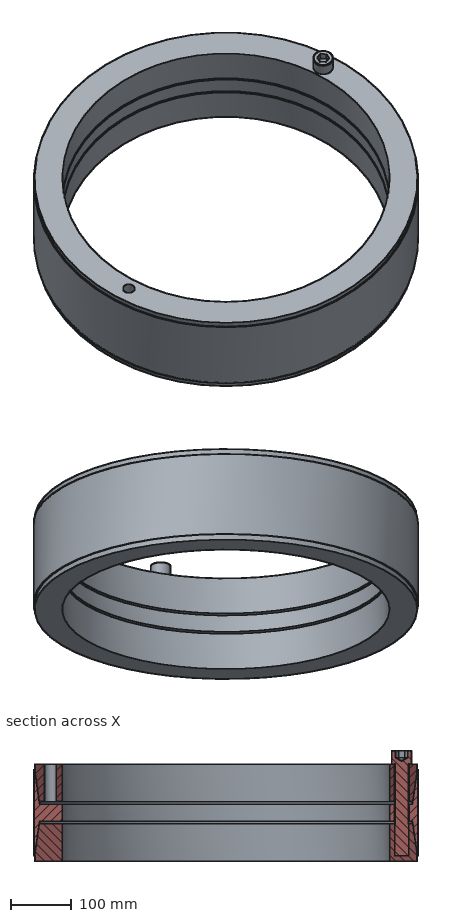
import cadquery as cq
import math


outer_diameter = 635.0
bore_diameter = 540.0
assembly_height = 160.5

rim_diameter = 631.0
rim_height = 9.5
small_end_diameter = 616.0

web_thickness = 28.5
web_gap = 4.0

bolt_circle_radius = 289.5
screw_diameter = 22.0
clearance_diameter = 24.0
jack_hole_diameter = 19.0
head_diameter = 33.0
head_height = 22.0
head_chamfer = 1.0
socket_width = 17.0
socket_depth = 11.5
socket_point_angle = 120.0
screw_tip_z = rim_height

outer_radius = outer_diameter / 2
bore_radius = bore_diameter / 2
rim_radius = rim_diameter / 2
small_end_radius = small_end_diameter / 2
mid_z = assembly_height / 2
web_bottom_z = mid_z - web_thickness / 2
web_top_z = mid_z + web_thickness / 2
taper_end_z = web_bottom_z - web_gap
shoulder_top_z = assembly_height - rim_height
socket_corner_diameter = socket_width / math.cos(math.radians(30))
socket_point_depth = socket_corner_diameter / 2 / math.tan(math.radians(socket_point_angle / 2))


def revolve_profile(points):
    """Revolve an (r, z) outline around the Z axis."""
    return cq.Workplane("XZ").polyline(points).close().revolve(360, (0, 0), (0, 1))


def vertical_cylinder(diameter, y, bottom_z, top_z):
    """Cylinder on the bolt circle's Y line between two heights."""
    return (
        cq.Workplane("XY", origin=(0, y, bottom_z))
        .circle(diameter / 2)
        .extrude(top_z - bottom_z)
    )


def make_outer_ring():
    """Outer ring with two tapered seats and a web reaching in to the bore."""
    seat_radius_at_web = rim_radius - (rim_radius - small_end_radius) * (
        (web_bottom_z - rim_height) / (taper_end_z - rim_height)
    )
    ring = revolve_profile([
        (outer_radius, rim_height),
        (outer_radius, shoulder_top_z),
        (rim_radius, shoulder_top_z),
        (seat_radius_at_web, web_top_z),
        (bore_radius, web_top_z),
        (bore_radius, web_bottom_z),
        (seat_radius_at_web, web_bottom_z),
        (rim_radius, rim_height),
    ])
    return ring.cut(
        vertical_cylinder(clearance_diameter, bolt_circle_radius, web_bottom_z, web_top_z)
    )


def make_tapered_ring():
    """Plain clamping ring with its wide rim at the bottom."""
    return revolve_profile([
        (bore_radius, 0),
        (rim_radius, 0),
        (rim_radius, rim_height),
        (small_end_radius, taper_end_z),
        (bore_radius, taper_end_z),
    ])


def make_rear_ring():
    """Lower tapered ring with the hole that receives the screw."""
    screw_hole = vertical_cylinder(screw_diameter, bolt_circle_radius, screw_tip_z, taper_end_z)
    return make_tapered_ring().cut(screw_hole)


def make_front_ring():
    """Upper tapered ring with a clearance hole and an opposite jack hole."""
    ring = make_tapered_ring().mirror("XY", (0, 0, mid_z))
    screw_hole = vertical_cylinder(
        clearance_diameter, bolt_circle_radius, mid_z, assembly_height
    )
    jack_hole = vertical_cylinder(
        jack_hole_diameter, -bolt_circle_radius, web_top_z, assembly_height
    )
    return ring.cut(screw_hole).cut(jack_hole)


def make_socket():
    """Hexagonal socket with a conical bottom, corners pointing along Y."""
    head_top_z = assembly_height + head_height
    total_depth = socket_depth + socket_point_depth
    prism = (
        cq.Workplane("XY", origin=(0, bolt_circle_radius, head_top_z - total_depth))
        .transformed(rotate=(0, 0, 90))
        .polygon(6, socket_corner_diameter)
        .extrude(total_depth)
    )
    cone_top_radius = total_depth * math.tan(math.radians(socket_point_angle / 2))
    cone = cq.Solid.makeCone(
        cone_top_radius,
        0,
        total_depth,
        pnt=cq.Vector(0, bolt_circle_radius, head_top_z),
        dir=cq.Vector(0, 0, -1),
    )
    return prism.intersect(cq.Workplane(cone))


def make_screw():
    """Socket head cap screw seated on the front ring."""
    head = vertical_cylinder(
        head_diameter, bolt_circle_radius, assembly_height, assembly_height + head_height
    )
    head = head.faces(">Z").edges().chamfer(head_chamfer)
    shank = vertical_cylinder(
        screw_diameter, bolt_circle_radius, screw_tip_z, assembly_height
    )
    return head.union(shank).cut(make_socket())


outer_ring = make_outer_ring()
rear_ring = make_rear_ring()
front_ring = make_front_ring()
screw = make_screw()

result = cq.Compound.makeCompound([
    outer_ring.solids().val(),
    rear_ring.solids().val(),
    front_ring.solids().val(),
    screw.solids().val(),
])